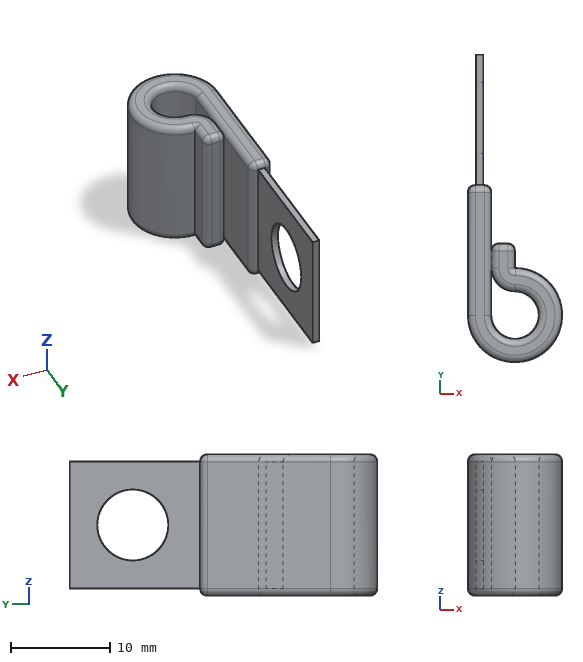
import cadquery as cq

overall_length = 30.95
loop_diameter = 9.5
cushion_width = 14.23
edge_radius = 0.75
leg_end = 13.1
tab_end = 7.2
strip_thickness = 0.75
strip_width = 12.8
hole_diameter = 7.12
hole_end_distance = 6.35
loop_angle = 270
bend_angle = 90

loop_radius = loop_diameter / 2
cushion_thickness = loop_radius / 2
strip_end = overall_length - loop_radius
leg_center_x = -loop_radius + cushion_thickness / 2
tab_center_x = -cushion_thickness / 2


def cushion_profile(workplane, center_u):
    """Rounded rectangular cross-section of the cushion."""
    return (
        workplane.center(center_u, 0)
        .sketch()
        .rect(cushion_thickness, cushion_width)
        .vertices()
        .fillet(edge_radius)
        .finalize()
    )


def straight_run(center_x, y_start, y_end):
    """Straight cushion along Y with its free end rounded over."""
    run = cq.Workplane("XY").box(
        cushion_thickness, y_end - y_start, cushion_width
    ).translate((center_x, (y_start + y_end) / 2, 0))
    return run.edges("|Y or >Y").fillet(edge_radius)


def curved_run(center_y, profile_x, angle):
    """Cushion section turned about the vertical axis at X = 0, Y = center_y."""
    plane = cq.Workplane("XZ", origin=(0, center_y, 0))
    profile = cushion_profile(plane, profile_x)
    axis_offset = -profile_x
    return profile.revolve(angle, (axis_offset, 0, 0), (axis_offset, 1, 0))


leg = straight_run(leg_center_x, 0, leg_end)
loop = curved_run(0, leg_center_x, loop_angle)
bend = curved_run(loop_radius, tab_center_x, bend_angle)
tab = straight_run(tab_center_x, loop_radius, tab_end)
cushion = leg.union(loop).union(bend).union(tab)

strip = (
    cq.Workplane("XY")
    .box(strip_thickness, strip_end, strip_width)
    .translate((leg_center_x, strip_end / 2, 0))
)
hole = (
    cq.Workplane("YZ", origin=(leg_center_x, strip_end - hole_end_distance, 0))
    .circle(hole_diameter / 2)
    .extrude(strip_thickness, both=True)
)

result = cushion.union(strip.cut(hole))